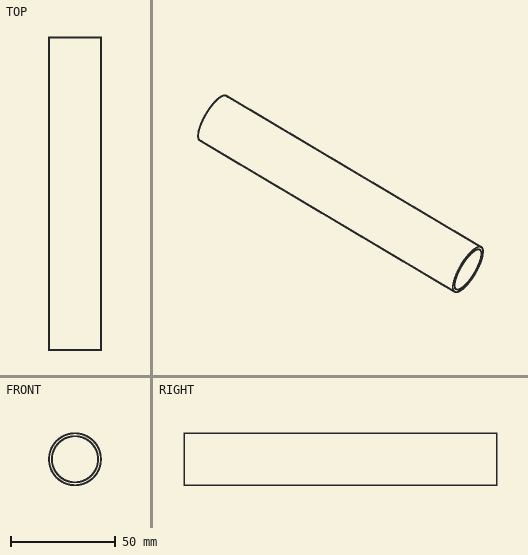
import cadquery as cq

length = 150.0
outer_diameter = 25.0
wall_thickness = 1.5
bore_diameter = outer_diameter - 2 * wall_thickness

result = (
    cq.Workplane("XZ")
    .circle(outer_diameter / 2)
    .circle(bore_diameter / 2)
    .extrude(length)
)